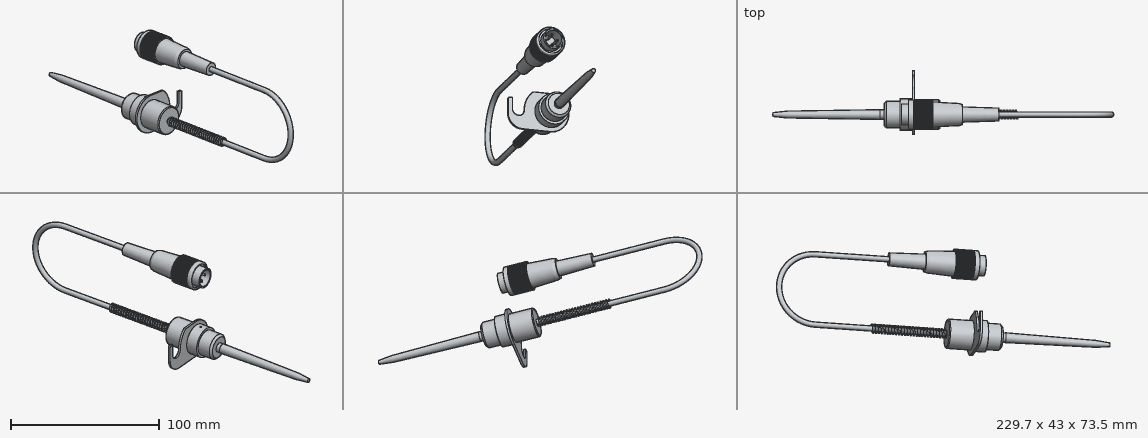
import cadquery as cq
import math


tip_cone_length = 10.0
tip_diameter = 2.8
tip_crown_height = 0.3
tube_start_diameter = 4.85
tube_end_diameter = 6.8
tube_end_x = 72.2

housing_start_x = 75.0
neck_diameter = 6.5
nose_diameter = 18.0
nose_chamfer = 1.5
collar_start_x = 85.8
collar_diameter = 21.4
collar_hole_diameter = 1.0
collar_hole_depth = 3.0
collar_hole_setback = 4.4
plate_start_x = 94.1
plate_thickness = 1.5
plate_end_x = plate_start_x + plate_thickness
rear_end_x = 112.5
rear_diameter = 20.0
rear_chamfer = 0.7

plate_radius = 13.5
hook_reach = 29.5
hook_corner_radius = 10.0
finger_width = 3.0
finger_tip_z = 8.0
finger_tip_radius = 0.9
shoulder_radius = 2.0
throat_side_radius = 18.0

cable_diameter = 3.7
plug_axis_z = 50.0
bend_radius = plug_axis_z / 2
overall_length = 229.71
overall_height = 73.45
bend_start_x = overall_length - bend_radius - cable_diameter / 2
spring_wire_diameter = 1.0
spring_outer_diameter = 6.3
spring_pitch = 2.0
spring_end_clearance = 0.1
spring_turns = 25.75

plug_start_x = 86.6
plug_nose_diameter = 13.9
socket_diameter = 11.8
socket_depth = 12.0
pin_diameter = 1.5
pin_circle_diameter = 7.2
pin_spacing_degrees = 90
pin_count = 3
pin_length = 9.5
pin_chamfer = 0.25
key_width = 1.5
key_height = 2.2
ring_start_x = 91.4
ring_end_x = 107.8
ring_diameter = 2 * (overall_height - plate_radius - plug_axis_z)
ring_mouth_diameter = 17.1
ring_mouth_depth = 1.5
ring_edge_radius = 0.8
knurl_start_x = 94.8
knurl_depth = 0.5
groove_overcut = 0.05
knurl_count = 60
boot_start_diameter = 17.1
boot_shoulder_x = 125.5
boot_shoulder_diameter = 15.1
boot_end_x = 127.7
boot_end_diameter = 13.6
relief_start_diameter = 10.5
relief_end_x = 152.3
relief_end_diameter = 8.92


def revolved(profile, axis_z=0.0):
    """Turn (x, radius) points, closed along the axis, about the X-parallel axis at height axis_z."""
    outline = [(profile[0][0], 0.0), *profile, (profile[-1][0], 0.0)]
    turned = cq.Workplane("XZ").polyline(outline).close().revolve(360, (0, 0, 0), (1, 0, 0))
    return turned.translate((0, 0, axis_z))


def rod(start_x, end_x, diameter, y=0.0, z=0.0):
    """Make a round bar parallel to X."""
    return cq.Workplane("YZ", origin=(start_x, y, z)).circle(diameter / 2).extrude(end_x - start_x)


def make_probe():
    tip_radius = tip_diameter / 2
    crown_sphere_radius = (tip_radius**2 + tip_crown_height**2) / (2 * tip_crown_height)
    half_chord = tip_radius / 2
    half_chord_x = crown_sphere_radius - math.sqrt(crown_sphere_radius**2 - half_chord**2)
    return (
        cq.Workplane("XZ")
        .threePointArc((half_chord_x, half_chord), (tip_crown_height, tip_radius))
        .lineTo(tip_cone_length, tube_start_diameter / 2)
        .lineTo(tube_end_x, tube_end_diameter / 2)
        .lineTo(tube_end_x, 0)
        .close()
        .revolve(360, (0, 0, 0), (1, 0, 0))
    )


def make_front_housing():
    nose_radius = nose_diameter / 2
    body = revolved([
        (tube_end_x, neck_diameter / 2),
        (housing_start_x, neck_diameter / 2),
        (housing_start_x, nose_radius - nose_chamfer),
        (housing_start_x + nose_chamfer, nose_radius),
        (collar_start_x, nose_radius),
        (collar_start_x, collar_diameter / 2),
        (plate_start_x, collar_diameter / 2),
    ])
    hole_floor_z = collar_diameter / 2 - collar_hole_depth
    hole = (
        cq.Workplane("XY", origin=(collar_start_x + collar_hole_setback, 0, hole_floor_z))
        .circle(collar_hole_diameter / 2)
        .extrude(2 * collar_hole_depth)
    )
    return body.cut(hole)


def make_hook_plate():
    finger_inner_y = hook_reach - finger_width
    throat_radius = (finger_inner_y - throat_side_radius) / 2
    throat_y = throat_side_radius + throat_radius
    shoulder_angle = math.asin(plate_radius / throat_side_radius)
    shoulder_y = throat_side_radius * math.cos(shoulder_angle)
    side_middle = (
        throat_side_radius * math.cos(shoulder_angle / 2),
        throat_side_radius * math.sin(shoulder_angle / 2),
    )
    corner_y = hook_reach - hook_corner_radius
    corner_z = hook_corner_radius - plate_radius
    corner_offset = hook_corner_radius * math.sqrt(0.5)
    plate = (
        cq.Workplane("YZ", origin=(plate_start_x, 0, 0))
        .moveTo(0, plate_radius)
        .threePointArc((-plate_radius, 0), (0, -plate_radius))
        .lineTo(corner_y, -plate_radius)
        .threePointArc((corner_y + corner_offset, corner_z - corner_offset), (hook_reach, corner_z))
        .lineTo(hook_reach, finger_tip_z)
        .lineTo(finger_inner_y, finger_tip_z)
        .lineTo(finger_inner_y, 0)
        .threePointArc((throat_y, -throat_radius), (throat_side_radius, 0))
        .threePointArc(side_middle, (shoulder_y, plate_radius))
        .close()
        .extrude(plate_thickness)
    )
    outer_tip_corner = cq.selectors.NearestToPointSelector(
        (plate_start_x + plate_thickness / 2, hook_reach, finger_tip_z)
    )
    shoulder_corner = cq.selectors.NearestToPointSelector(
        (plate_start_x + plate_thickness / 2, shoulder_y, plate_radius)
    )
    plate = plate.edges(outer_tip_corner).fillet(finger_tip_radius)
    return plate.edges(shoulder_corner).fillet(shoulder_radius)


def make_rear_housing():
    return rod(plate_end_x, rear_end_x, rear_diameter).faces(">X").chamfer(rear_chamfer)


def make_spring():
    coil_radius = (spring_outer_diameter - spring_wire_diameter) / 2
    helix = cq.Wire.makeHelix(spring_pitch, spring_turns * spring_pitch, coil_radius)
    coil = (
        cq.Workplane("XZ", origin=(coil_radius, 0, 0))
        .circle(spring_wire_diameter / 2)
        .sweep(cq.Workplane(helix), isFrenet=True)
    )
    coil = coil.rotate((0, 0, 0), (0, 1, 0), 90)
    return coil.translate((rear_end_x + spring_end_clearance + spring_wire_diameter / 2, 0, 0))


def make_cable():
    path = (
        cq.Workplane("XZ")
        .moveTo(rear_end_x, 0)
        .lineTo(bend_start_x, 0)
        .threePointArc((bend_start_x + bend_radius, bend_radius), (bend_start_x, plug_axis_z))
        .lineTo(relief_end_x, plug_axis_z)
    )
    return cq.Workplane("YZ", origin=(rear_end_x, 0, 0)).circle(cable_diameter / 2).sweep(path)


def make_plug():
    nose_radius = plug_nose_diameter / 2
    body = revolved([
        (plug_start_x, nose_radius),
        (ring_end_x, nose_radius),
        (ring_end_x, boot_start_diameter / 2),
        (boot_shoulder_x, boot_shoulder_diameter / 2),
        (boot_end_x, boot_end_diameter / 2),
        (boot_end_x, relief_start_diameter / 2),
        (relief_end_x, relief_end_diameter / 2),
    ], plug_axis_z)
    socket_floor_x = plug_start_x + socket_depth
    body = body.cut(rod(plug_start_x, socket_floor_x, socket_diameter, z=plug_axis_z))
    for index in range(pin_count):
        angle = math.radians(pin_spacing_degrees * (index + 1))
        pin_y = pin_circle_diameter / 2 * math.cos(angle)
        pin_z = plug_axis_z + pin_circle_diameter / 2 * math.sin(angle)
        pin = rod(socket_floor_x - pin_length, socket_floor_x, pin_diameter, pin_y, pin_z)
        body = body.union(pin.faces("<X").chamfer(pin_chamfer))
    key_outer_y = (socket_diameter + plug_nose_diameter) / 4
    key_inner_y = socket_diameter / 2 - key_height
    key = cq.Workplane("XY").box(
        socket_depth, key_outer_y - key_inner_y, key_width, centered=(False, False, True)
    )
    return body.union(key.translate((plug_start_x, key_inner_y, plug_axis_z)))


def make_ring():
    ring = rod(ring_start_x, ring_end_x, ring_diameter).faces("<X").edges().fillet(ring_edge_radius)
    ring = ring.cut(rod(ring_start_x, ring_end_x, plug_nose_diameter))
    ring = ring.cut(rod(ring_start_x, ring_start_x + ring_mouth_depth, ring_mouth_diameter))
    ring_radius = ring_diameter / 2
    groove_rim = ring_radius + groove_overcut
    groove_half_width = math.pi * ring_radius / knurl_count
    groove = (
        cq.Workplane("YZ", origin=(knurl_start_x, 0, 0))
        .polyline([
            (-groove_half_width, groove_rim),
            (0, ring_radius - knurl_depth),
            (groove_half_width, groove_rim),
        ])
        .close()
        .extrude(ring_end_x - knurl_start_x)
        .val()
    )
    grooves = [
        groove.rotate(cq.Vector(0, 0, 0), cq.Vector(1, 0, 0), 360 * index / knurl_count)
        for index in range(knurl_count)
    ]
    ring = cq.Workplane(ring.val().cut(*grooves))
    return ring.translate((0, 0, plug_axis_z))


probe = make_probe()
front_housing = make_front_housing()
hook_plate = make_hook_plate()
rear_housing = make_rear_housing()
spring = make_spring()
cable = make_cable()
plug = make_plug()
ring = make_ring()

result = cq.Compound.makeCompound([
    probe.val(),
    front_housing.val(),
    hook_plate.val(),
    rear_housing.val(),
    spring.val(),
    cable.val(),
    plug.val(),
    ring.val(),
])